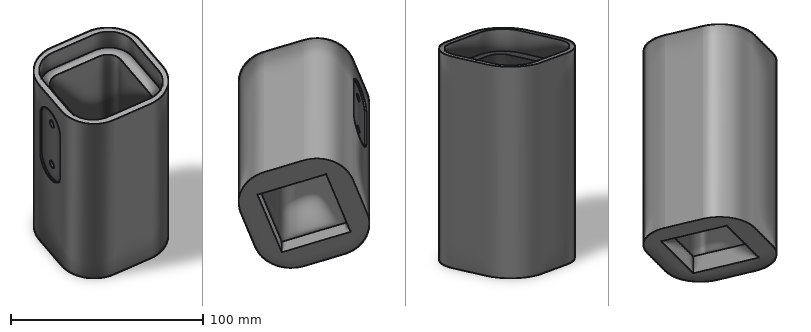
import cadquery as cq
import math

height = 115.0
outer_width = 62.0
outer_radius = 20.0

recess_width = 55.0
recess_radius = 15.0
recess_depth = 12.0

cavity_width = 45.0
cavity_length = 42.0
cavity_radius = 8.0

floor_thickness = 10.0
opening_width = 38.0

pocket_width = 20.0
hole_spacing = 30.0
pocket_length = hole_spacing + pocket_width
pocket_depth = 1.0
pocket_center_z = height - 35.0
hole_diameter = 4.3
hole_depth = 5.8
drill_point_angle = 118.0


def rounded_prism(size_x, size_y, radius, bottom, top):
    """Upright rectangular prism with rounded vertical edges."""
    return (
        cq.Workplane("XY")
        .workplane(offset=bottom)
        .rect(size_x, size_y)
        .extrude(top - bottom)
        .edges("|Z")
        .fillet(radius)
    )


def front_plane(depth):
    """Plane parallel to the -Y face, set in by depth and centred on the pocket."""
    origin = (0, -outer_width / 2 + depth, pocket_center_z)
    return cq.Workplane("XZ", origin=origin)


def mounting_pocket():
    return front_plane(0).slot2D(pocket_length, pocket_width, 90).extrude(-pocket_depth)


def blind_hole(offset_z):
    """Drilled hole with a conical end, starting at the pocket floor."""
    radius = hole_diameter / 2
    bore = front_plane(pocket_depth).center(0, offset_z).circle(radius).extrude(-hole_depth)
    point_height = radius / math.tan(math.radians(drill_point_angle / 2))
    bore_end = cq.Vector(0, -outer_width / 2 + pocket_depth + hole_depth, pocket_center_z + offset_z)
    point = cq.Solid.makeCone(radius, 0, point_height, pnt=bore_end, dir=cq.Vector(0, 1, 0))
    return bore.union(cq.Workplane(obj=point))


ledge_z = height - recess_depth
result = rounded_prism(outer_width, outer_width, outer_radius, 0, height)
result = result.cut(rounded_prism(recess_width, recess_width, recess_radius, ledge_z, height))
result = result.cut(rounded_prism(cavity_width, cavity_length, cavity_radius, floor_thickness, ledge_z))
result = result.cut(cq.Workplane("XY").rect(opening_width, opening_width).extrude(floor_thickness))

result = result.cut(mounting_pocket())
for offset_z in (-hole_spacing / 2, hole_spacing / 2):
    result = result.cut(blind_hole(offset_z))